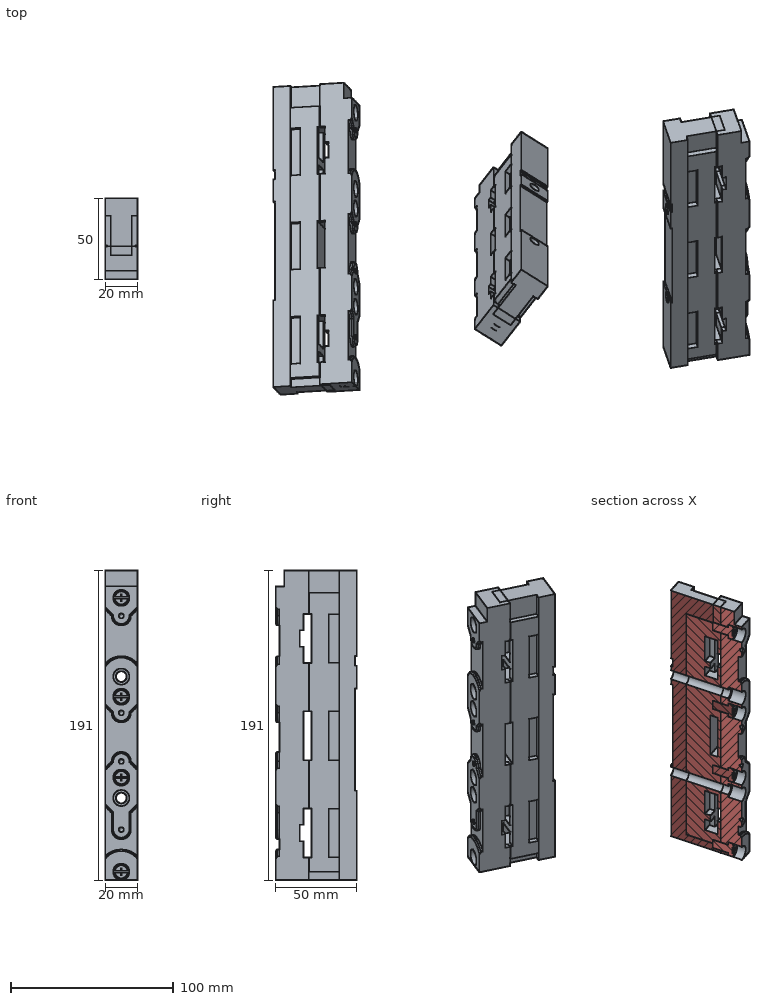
import cadquery as cq

width = 20.0
depth = 50.0
height = 191.0

pad_thickness = 2.3
front_back_y = 20.2
tongue_front_y = 14.9
flange_front_y = 39.2
neck_width = 13.2

top_step_y = 5.2
top_step_z = 181.0

core_bottom = 5.2
core_top = 177.0
rebate_depth = 0.5
rebate_width = 1.1

window_pitch = 60.0
middle_window_z = 89.0
window_height = 30.0
window_front_y = 17.2
window_back_y = 22.0
notch_height = 10.0
side_pocket_front_y = 32.9
lower_window_z = middle_window_z - window_pitch
upper_window_z = middle_window_z + window_pitch
outer_window_levels = [lower_window_z, upper_window_z]
window_levels = [*outer_window_levels, middle_window_z]

core_recess_depth = 3.8
core_recess_width = 11.0
crossbar_height = 4.8
crossbar_levels = [24.3, 142.9]

back_recess_depth = 1.1
back_recesses = [(55.2, 118.0), (132.2, 138.0)]

tab_radius = 6.0
pad_chamfer = 1.0
shoulder_run = 9.5
pad_half_width = tab_radius + shoulder_run
pad_overrun = 3.8
upper_dome_radius = 12.6
lower_dome_radius = 13.8
tab_levels = [31.1, 73.2, 103.1, 163.0]
long_tab_straight = 10.3
dimple_diameter = 3.0
dimple_depth = 1.5

screw_levels = [5.2, 63.2, 113.0, 174.0]
mounting_levels = [50.6, 125.5]
mounting_diameter = 6.5
counterbore_diameter = 10.0
seat_y = 9.5
head_height = 4.0
head_chamfer = 1.0
shank_diameter = 6.0
slot_width = 1.1
slot_depth = 1.1
cross_slot_width = 0.5
cross_slot_length = 4.2


def block(block_width, front, back, bottom, top):
    """Box centred on X = 0 between two depths and two heights."""
    return cq.Workplane("XY").box(
        block_width, back - front, top - bottom, centered=(True, False, False)
    ).translate((0, front, bottom))


def rod(diameter, front, back, z):
    """Cylinder along Y at height z."""
    axis_start = cq.Vector(0, front, z)
    solid = cq.Solid.makeCylinder(diameter / 2, back - front, axis_start, cq.Vector(0, 1, 0))
    return cq.Workplane(obj=solid)


def tab(z, direction, straight=0.0):
    """Rounded tab with 45 degree shoulders; direction is +1 for a tab that points up."""
    neck_z = z - direction * straight
    base_z = neck_z - direction * shoulder_run
    shoulders = cq.Workplane("XZ").polyline([
        (-pad_half_width, base_z),
        (-tab_radius, neck_z),
        (tab_radius, neck_z),
        (pad_half_width, base_z),
    ]).close().extrude(-pad_thickness)
    tip = rod(2 * tab_radius, 0, pad_thickness, z)
    if straight > 0:
        tip = tip.union(block(2 * tab_radius, 0, pad_thickness, min(z, neck_z), max(z, neck_z)))
    return shoulders.union(tip)


def slab(bottom, top):
    """Full-width stretch of a pad."""
    return block(2 * pad_half_width, 0, pad_thickness, bottom, top)


def dome(radius, z):
    """Round pad end."""
    return rod(2 * radius, 0, pad_thickness, z)


def make_pads():
    """Four raised pads with bevelled rims, trimmed flush with the sides, top step and bottom."""
    long_tab_z, up_tab_z, middle_tab_z, top_tab_z = tab_levels
    lower_dome_z = screw_levels[0]
    upper_dome_z = mounting_levels[1]
    shapes = [
        dome(lower_dome_radius, lower_dome_z).union(slab(-pad_overrun, lower_dome_z)),
        tab(long_tab_z, -1, long_tab_straight)
        .union(slab(long_tab_z + long_tab_straight + shoulder_run, up_tab_z - shoulder_run))
        .union(tab(up_tab_z, 1)),
        tab(middle_tab_z, -1)
        .union(slab(middle_tab_z + shoulder_run, upper_dome_z))
        .union(dome(upper_dome_radius, upper_dome_z)),
        tab(top_tab_z, -1).union(slab(top_tab_z + shoulder_run, top_step_z + pad_overrun)),
    ]
    envelope = block(width, 0, pad_thickness, 0, top_step_z)
    return [shape.faces("<Y").chamfer(pad_chamfer).intersect(envelope) for shape in shapes]


def window_cutter():
    """Windows right across the width, the outer two with a deeper notch at mid-height."""
    cutter = cq.Workplane("XY")
    for z in window_levels:
        low, high = z - window_height / 2, z + window_height / 2
        cutter = cutter.union(block(width, window_front_y, window_back_y, low, high))
    for z in outer_window_levels:
        low, high = z - notch_height / 2, z + notch_height / 2
        cutter = cutter.union(block(width, tongue_front_y, window_front_y, low, high))
    return cutter


def crossbar_recesses():
    """Recess behind each outer window, interrupted by a crossbar."""
    cutter = cq.Workplane("XY")
    recess_back_y = window_back_y + core_recess_depth
    for z, bar_z in zip(outer_window_levels, crossbar_levels):
        low, high = z - window_height / 2, z + window_height / 2
        bar_low, bar_high = bar_z - crossbar_height / 2, bar_z + crossbar_height / 2
        recess = block(core_recess_width, window_back_y, recess_back_y, low, high)
        recess = recess.cut(block(core_recess_width, window_back_y, recess_back_y, bar_low, bar_high))
        cutter = cutter.union(recess)
    return cutter


def y_cylinders(diameter, levels, front, back):
    """Straight cylinders along Y, one per level."""
    cylinders = cq.Workplane("XY")
    for z in levels:
        cylinders = cylinders.union(rod(diameter, front, back, z))
    return cylinders


def make_front_housing():
    """Front plate with pads, tongue groove, side windows, counterbored holes and dimples."""
    body = block(width, pad_thickness, front_back_y, 0, height)
    body = body.cut(block(width, 0, top_step_y, top_step_z, height))
    for pad in make_pads():
        body = body.union(pad)
    body = body.cut(block(neck_width, tongue_front_y, front_back_y, 0, height))
    body = body.cut(window_cutter())
    body = body.cut(y_cylinders(counterbore_diameter, screw_levels + mounting_levels, 0, seat_y))
    body = body.cut(y_cylinders(shank_diameter, screw_levels, seat_y, tongue_front_y))
    body = body.cut(y_cylinders(mounting_diameter, mounting_levels, seat_y, tongue_front_y))
    for z in tab_levels:
        dimple = cq.Solid.makeCone(
            dimple_diameter / 2, 0, dimple_depth, cq.Vector(0, 0, z), cq.Vector(0, 1, 0)
        )
        body = body.cut(cq.Workplane(obj=dimple))
    return body


def make_core():
    """Block between the end necks of the rear housing, with a full-height tongue in front."""
    body = block(width, front_back_y, flange_front_y, core_bottom, core_top)
    clear_width = width - 2 * rebate_width
    rebate = block(width, front_back_y, front_back_y + rebate_depth, core_bottom, core_top)
    rebate = rebate.cut(block(clear_width, front_back_y, flange_front_y, core_bottom, core_top))
    body = body.cut(rebate)
    body = body.union(block(neck_width, tongue_front_y, front_back_y, 0, height))
    body = body.cut(window_cutter())
    for z in window_levels:
        low, high = z - window_height / 2, z + window_height / 2
        pockets = block(width, side_pocket_front_y, flange_front_y, low, high)
        pockets = pockets.cut(block(neck_width, side_pocket_front_y, flange_front_y, low, high))
        body = body.cut(pockets)
    body = body.cut(crossbar_recesses())
    body = body.cut(y_cylinders(shank_diameter, screw_levels, tongue_front_y, front_back_y))
    return body.cut(y_cylinders(mounting_diameter, mounting_levels, tongue_front_y, flange_front_y))


def make_rear_housing():
    """Full-height flange with a narrow neck at each end that closes in the core."""
    body = block(width, flange_front_y, depth, 0, height)
    body = body.union(block(neck_width, front_back_y, flange_front_y, 0, core_bottom))
    body = body.union(block(neck_width, front_back_y, flange_front_y, core_top, height))
    for low, high in back_recesses:
        body = body.cut(block(width, depth - back_recess_depth, depth, low, high))
    return body.cut(y_cylinders(mounting_diameter, mounting_levels, flange_front_y, depth))


def make_screw(z):
    """Bevelled head with a slot and a short cross slot, and a shank ending at the tongue's back."""
    head_front_y = seat_y - head_height
    head = rod(counterbore_diameter, head_front_y, seat_y, z).faces("<Y").chamfer(head_chamfer)
    slot_floor_y = head_front_y + slot_depth
    slot_low, slot_high = z - slot_width / 2, z + slot_width / 2
    cross_low, cross_high = z - cross_slot_length / 2, z + cross_slot_length / 2
    slot = block(counterbore_diameter, head_front_y, slot_floor_y, slot_low, slot_high)
    slot = slot.union(block(cross_slot_width, head_front_y, slot_floor_y, cross_low, cross_high))
    return head.cut(slot).union(rod(shank_diameter, seat_y, front_back_y, z))


front_housing = make_front_housing()
core = make_core()
rear_housing = make_rear_housing()
screws = [make_screw(z) for z in screw_levels]

result = cq.Compound.makeCompound([
    front_housing.val(),
    core.val(),
    rear_housing.val(),
    *[screw.val() for screw in screws],
])